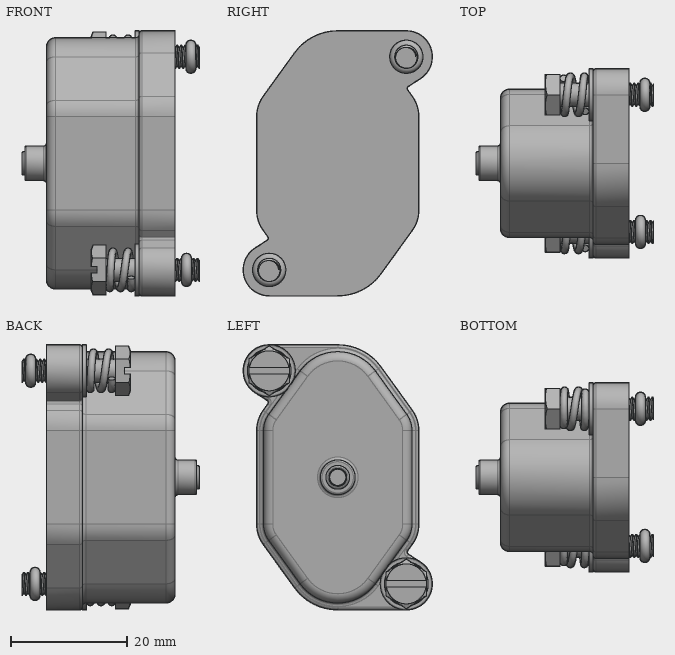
import cadquery as cq
import math


LENGTH = 30.6
WIDTH = 32.63
HEIGHT = 45.73

FLANGE_THICKNESS = 6.2
FLANGE_HALF_WIDTH = 14.0
FLANGE_HALF_HEIGHT = HEIGHT / 2
END_RADIUS = 9.2
CORNER_RADIUS = 6.0
CORNER_CENTRE_Z = 8.05
FLANGE_EDGE_RADIUS = 0.5

BODY_FRONT_X = -22.2
BODY_INSET = 1.2
BODY_EDGE_RADIUS = 1.6
BODY_BASE_RADIUS = 0.6

BOSS_RADIUS = 3.0
BOSS_FRONT_X = -25.9
BOSS_EDGE_RADIUS = 0.3
BOSS_BASE_RADIUS = 0.5
TIP_RADIUS = 2.05
TIP_FRONT_X = -26.4
TIP_EDGE_RADIUS = 0.3
BORE_RADIUS = 1.4
BORE_CHAMFER = 0.15
BORE_DEPTH = 3.0

EAR_RADIUS = 4.5
SCREW_Y = WIDTH / 2 - EAR_RADIUS
SCREW_Z = FLANGE_HALF_HEIGHT - EAR_RADIUS
EAR_FLANK_ANGLE = 33
EAR_NECK_RADIUS = 0.4
NECK_Y = 12.0
NECK_Z = 13.0

SHANK_RADIUS = 2.0
HEAD_FRONT_X = -14.5
HEAD_BACK_X = -11.9
HEAD_HALF_FLATS = 3.52
HEAD_SHOULDER_Z = 2.04
HEAD_CORNER_Z = 4.29
HEAD_FACE_RADIUS = 3.45
HEAD_CHAMFER_DEPTH = 0.35
SLOT_WIDTH = 1.12
SLOT_DEPTH = 1.05
SCREW_TIP_X = LENGTH + TIP_FRONT_X
THREAD_PITCH = 0.7
THREAD_ROOT_RADIUS = 1.6
THREAD_MOUTH = 0.6
THREAD_START_X = -THREAD_PITCH / 2

WASHER_THICKNESS = 0.75
WASHER_EDGE_RADIUS = 0.15
WASHER_FRONT_X = -FLANGE_THICKNESS - WASHER_THICKNESS

SPRING_MEAN_RADIUS = 3.15
SPRING_WIRE_RADIUS = 0.63
SPRING_RISING_TURNS = 2
SPRING_FLAT_TURNS = 0.18
SPRING_PATH_STEPS = 48

RING_MEAN_RADIUS = 2.0
RING_WIRE_RADIUS = 0.87
UPPER_RING_X = 2.7
LOWER_RING_X = 1.95

SCREW_SITES = [(1, UPPER_RING_X), (-1, LOWER_RING_X)]


def yz_plane(x):
    return cq.Workplane("YZ", origin=(x, 0, 0))


def on_circle(centre, radius, angle):
    return (centre[0] + radius * math.cos(angle), centre[1] + radius * math.sin(angle))


def outline(x, inset):
    """Hull of the end and corner arcs, inset evenly, as a closed sketch at the given X."""
    end_radius = END_RADIUS - inset
    corner_radius = CORNER_RADIUS - inset
    end_z = FLANGE_HALF_HEIGHT - END_RADIUS
    corner_y = FLANGE_HALF_WIDTH - CORNER_RADIUS
    rise = end_z - CORNER_CENTRE_Z
    lean = math.acos((CORNER_RADIUS - END_RADIUS) / math.hypot(corner_y, rise))
    normal = math.atan2(rise, -corner_y) - lean
    arcs = [
        ((corner_y, CORNER_CENTRE_Z), corner_radius, 0, normal),
        ((0, end_z), end_radius, normal, math.pi - normal),
        ((-corner_y, CORNER_CENTRE_Z), corner_radius, math.pi - normal, math.pi),
        ((-corner_y, -CORNER_CENTRE_Z), corner_radius, math.pi, math.pi + normal),
        ((0, -end_z), end_radius, math.pi + normal, 2 * math.pi - normal),
        ((corner_y, -CORNER_CENTRE_Z), corner_radius, 2 * math.pi - normal, 2 * math.pi),
    ]
    sketch = yz_plane(x).moveTo(FLANGE_HALF_WIDTH - inset, -CORNER_CENTRE_Z)
    for centre, radius, start, stop in arcs:
        middle = (start + stop) / 2
        sketch = sketch.lineTo(*on_circle(centre, radius, start))
        sketch = sketch.threePointArc(on_circle(centre, radius, middle), on_circle(centre, radius, stop))
    return sketch.close()


def make_ear(side):
    """Round ear joined to the flange by a level edge and a sloping flank."""
    slope = math.radians(EAR_FLANK_ANGLE)
    centre = (SCREW_Y, SCREW_Z)
    flank_start = on_circle(centre, EAR_RADIUS, slope - math.pi / 2)
    flank_end = on_circle(flank_start, 2 * EAR_RADIUS, slope + math.pi)
    ear = (
        yz_plane(0)
        .moveTo(0, FLANGE_HALF_HEIGHT)
        .lineTo(SCREW_Y, FLANGE_HALF_HEIGHT)
        .threePointArc(on_circle(centre, EAR_RADIUS, slope / 2), flank_start)
        .lineTo(*flank_end)
        .lineTo(0, flank_end[1])
        .close()
        .extrude(-FLANGE_THICKNESS)
    )
    return ear if side > 0 else ear.rotate((0, 0, 0), (1, 0, 0), 180)


def make_flange():
    """Flange with both ears, the inner corners beside the ears rounded."""
    flange = outline(0, 0).extrude(-FLANGE_THICKNESS)
    for side, _ in SCREW_SITES:
        flange = flange.union(make_ear(side))
    for side, _ in SCREW_SITES:
        neck = (-FLANGE_THICKNESS / 2, side * NECK_Y, side * NECK_Z)
        flange = flange.edges("|X").edges(cq.NearestToPointSelector(neck)).fillet(EAR_NECK_RADIUS)
    return flange.faces("<X").edges().fillet(FLANGE_EDGE_RADIUS)


def make_body():
    body = outline(-FLANGE_THICKNESS, BODY_INSET).extrude(BODY_FRONT_X + FLANGE_THICKNESS)
    return body.faces("<X").edges().fillet(BODY_EDGE_RADIUS)


def disc(back_x, front_x, radius, edge_radius):
    """Round disc with its front edge rounded."""
    plain = yz_plane(back_x).circle(radius).extrude(front_x - back_x)
    return plain.faces("<X").edges().fillet(edge_radius)


def make_boss():
    boss = disc(BODY_FRONT_X, BOSS_FRONT_X, BOSS_RADIUS, BOSS_EDGE_RADIUS)
    tip = disc(BOSS_FRONT_X, TIP_FRONT_X, TIP_RADIUS, TIP_EDGE_RADIUS)
    return boss.union(tip)


def fillet_foot(solid, face_x, radius):
    """Fillet the foot of what stands on the flat face centred on the X axis at the given X."""
    face = solid.faces(cq.NearestToPointSelector((face_x, 0, 0))).val()
    foot = face.innerWires()[0].Edges()
    return solid.newObject(foot).fillet(radius)


def make_bore():
    """Blind bore of the boss with a chamfered mouth."""
    bore_end_x = TIP_FRONT_X + BORE_DEPTH
    return (
        cq.Workplane("XY")
        .moveTo(TIP_FRONT_X, 0)
        .lineTo(TIP_FRONT_X, BORE_RADIUS + BORE_CHAMFER)
        .lineTo(TIP_FRONT_X + BORE_CHAMFER, BORE_RADIUS)
        .lineTo(bore_end_x, BORE_RADIUS)
        .lineTo(bore_end_x, 0)
        .close()
        .revolve(360, (0, 0, 0), (1, 0, 0))
    )


def at_screw(shape, side):
    """Move a shape from the X axis to the screw axis on the given side."""
    return shape.translate((0, side * SCREW_Y, side * SCREW_Z))


def make_housing():
    housing = fillet_foot(make_flange().union(make_body()), -FLANGE_THICKNESS, BODY_BASE_RADIUS)
    housing = fillet_foot(housing.union(make_boss()), BODY_FRONT_X, BOSS_BASE_RADIUS)
    housing = housing.cut(make_bore())
    screw_hole = yz_plane(0).circle(SHANK_RADIUS).extrude(-FLANGE_THICKNESS)
    washer_seat = yz_plane(-FLANGE_THICKNESS).circle(EAR_RADIUS).extrude(-WASHER_THICKNESS)
    for side, _ in SCREW_SITES:
        housing = housing.cut(at_screw(screw_hole, side)).cut(at_screw(washer_seat, side))
    return housing


def make_head():
    """Six-sided head with a cone-chamfered front and a screwdriver slot along Y."""
    height = HEAD_BACK_X - HEAD_FRONT_X
    corners = [
        (0, HEAD_CORNER_Z),
        (HEAD_HALF_FLATS, HEAD_SHOULDER_Z),
        (HEAD_HALF_FLATS, -HEAD_SHOULDER_Z),
        (0, -HEAD_CORNER_Z),
        (-HEAD_HALF_FLATS, -HEAD_SHOULDER_Z),
        (-HEAD_HALF_FLATS, HEAD_SHOULDER_Z),
    ]
    prism = yz_plane(HEAD_BACK_X).polyline(corners).close().extrude(-height)
    turned = (
        cq.Workplane("XY")
        .moveTo(HEAD_FRONT_X, 0)
        .lineTo(HEAD_FRONT_X, HEAD_FACE_RADIUS)
        .lineTo(HEAD_FRONT_X + HEAD_CHAMFER_DEPTH, HEAD_CORNER_Z)
        .lineTo(HEAD_BACK_X, HEAD_CORNER_Z)
        .lineTo(HEAD_BACK_X, 0)
        .close()
        .revolve(360, (0, 0, 0), (1, 0, 0))
    )
    slot = yz_plane(HEAD_FRONT_X).rect(2 * HEAD_CORNER_Z, SLOT_WIDTH).extrude(SLOT_DEPTH)
    return prism.intersect(turned).cut(slot)


def make_thread_groove():
    """Helical V groove running out past the screw tip."""
    outer_radius = 2 * SHANK_RADIUS - THREAD_ROOT_RADIUS
    length = SCREW_TIP_X + THREAD_PITCH - THREAD_START_X
    helix = cq.Wire.makeHelix(THREAD_PITCH, length, THREAD_ROOT_RADIUS)
    groove = (
        cq.Workplane("XZ")
        .polyline([
            (THREAD_ROOT_RADIUS, 0),
            (outer_radius, THREAD_MOUTH),
            (outer_radius, -THREAD_MOUTH),
        ])
        .close()
        .sweep(cq.Workplane(helix), isFrenet=True)
    )
    return groove.rotate((0, 0, 0), (0, 1, 0), 90).translate((THREAD_START_X, 0, 0))


def make_ring(x):
    torus = cq.Solid.makeTorus(RING_MEAN_RADIUS, RING_WIRE_RADIUS, cq.Vector(x, 0, 0), cq.Vector(1, 0, 0))
    return cq.Workplane(torus)


def make_screw(ring_x):
    shank = yz_plane(HEAD_BACK_X).circle(SHANK_RADIUS).extrude(SCREW_TIP_X - HEAD_BACK_X)
    return make_head().union(shank.cut(make_thread_groove())).cut(make_ring(ring_x))


def make_washer():
    washer = disc(-FLANGE_THICKNESS, WASHER_FRONT_X, EAR_RADIUS, WASHER_EDGE_RADIUS)
    return washer.faces("<X").workplane().hole(2 * SHANK_RADIUS)


def make_spring():
    """Wire coil whose pitch fades to nothing at both ends, each closed by a short flat stretch."""
    mid_x = (HEAD_BACK_X + WASHER_FRONT_X) / 2
    half_rise = (WASHER_FRONT_X - HEAD_BACK_X) / 2 - SPRING_WIRE_RADIUS
    half_turns = SPRING_RISING_TURNS / 2 + SPRING_FLAT_TURNS

    def path(turn):
        angle = -math.pi / 2 - 2 * math.pi * turn
        rising_turn = max(-SPRING_RISING_TURNS / 2, min(SPRING_RISING_TURNS / 2, turn))
        x = mid_x + half_rise * math.sin(math.pi * rising_turn / SPRING_RISING_TURNS)
        return cq.Vector(x, SPRING_MEAN_RADIUS * math.cos(angle), SPRING_MEAN_RADIUS * math.sin(angle))

    step = 2 * half_turns / SPRING_PATH_STEPS
    points = [path(-half_turns + i * step) for i in range(SPRING_PATH_STEPS + 1)]
    centre_line = cq.Workplane(cq.Edge.makeSpline(points))
    start = points[0]
    section = cq.Workplane(cq.Plane(start, xDir=(1, 0, 0), normal=cq.Vector(1, 0, 0).cross(start)))
    return section.circle(SPRING_WIRE_RADIUS).sweep(centre_line, isFrenet=True)


housing = make_housing()
screws = []
washers = []
springs = []
rings = []
for side, ring_x in SCREW_SITES:
    screws.append(at_screw(make_screw(ring_x), side).val())
    washers.append(at_screw(make_washer(), side).val())
    springs.append(at_screw(make_spring(), side).val())
    rings.append(at_screw(make_ring(ring_x), side).val())

result = cq.Compound.makeCompound([housing.val(), *screws, *washers, *springs, *rings])